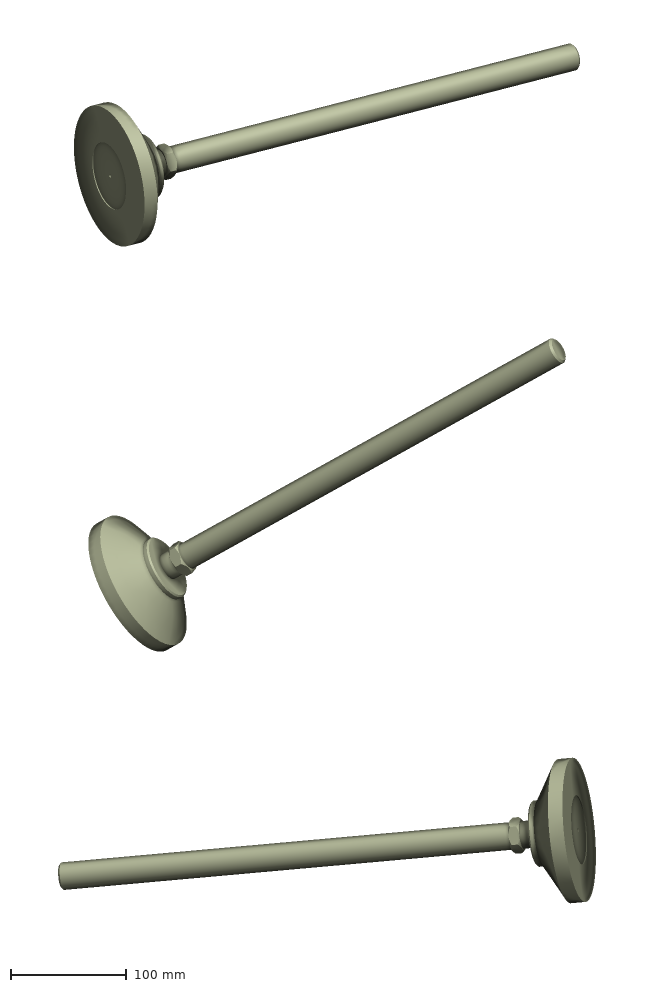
import cadquery as cq
import math

TOTAL_LENGTH = 460.0

FOOT_DIAMETER = 125.0
RIM_HEIGHT = 13.0
CONE_TOP = 33.5
COLLAR_DIAMETER = 57.5
COLLAR_TOP = 39.0
COLLAR_CHAMFER = 1.5
PAD_RECESS_DIAMETER = 60.0
PAD_RECESS_DEPTH = 1.0
CENTRE_HOLE_DIAMETER = 3.0
CENTRE_HOLE_DEPTH = 2.5
SOCKET_FLOOR = CONE_TOP

SPINDLE_DIAMETER = 24.0
SPINDLE_CHAMFER = 2.0
HEX_ACROSS_FLATS = 27.0
HEX_START = 50.0
HEX_LENGTH = 9.5
HEX_TURN = -7.0
HEX_CHAMFER_ANGLE = 45.0


def cylinder(diameter, start, end):
    """Solid cylinder along +Y between two heights."""
    return cq.Workplane("XZ", origin=(0, start, 0)).circle(diameter / 2).extrude(start - end)


def make_foot():
    """Round foot with a cone, a collar, a shallow pad recess and a spindle socket."""
    foot_radius = FOOT_DIAMETER / 2
    collar_radius = COLLAR_DIAMETER / 2
    body = (
        cq.Workplane("XY")
        .polyline([
            (0, 0),
            (foot_radius, 0),
            (foot_radius, RIM_HEIGHT),
            (collar_radius, CONE_TOP),
            (collar_radius, COLLAR_TOP - COLLAR_CHAMFER),
            (collar_radius - COLLAR_CHAMFER, COLLAR_TOP),
            (0, COLLAR_TOP),
        ])
        .close()
        .revolve(360, (0, 0, 0), (0, 1, 0))
    )
    pad_recess = cylinder(PAD_RECESS_DIAMETER, 0, PAD_RECESS_DEPTH)
    centre_hole = cylinder(CENTRE_HOLE_DIAMETER, 0, PAD_RECESS_DEPTH + CENTRE_HOLE_DEPTH)
    socket = cylinder(SPINDLE_DIAMETER, SOCKET_FLOOR, COLLAR_TOP)
    return body.cut(pad_recess).cut(centre_hole).cut(socket)


def make_hexagon():
    """Wrench hexagon with its corners turned off conically at both ends."""
    flat_radius = HEX_ACROSS_FLATS / 2
    corner_radius = flat_radius / math.cos(math.pi / 6)
    chamfer_height = (corner_radius - flat_radius) * math.tan(math.radians(HEX_CHAMFER_ANGLE))
    hex_end = HEX_START + HEX_LENGTH
    prism = (
        cq.Workplane("XZ", origin=(0, HEX_START, 0))
        .polygon(6, 2 * corner_radius)
        .extrude(-HEX_LENGTH)
        .rotate((0, 0, 0), (0, 1, 0), -HEX_TURN)
    )
    turned_blank = (
        cq.Workplane("XY")
        .polyline([
            (0, HEX_START),
            (flat_radius, HEX_START),
            (corner_radius, HEX_START + chamfer_height),
            (corner_radius, hex_end - chamfer_height),
            (flat_radius, hex_end),
            (0, hex_end),
        ])
        .close()
        .revolve(360, (0, 0, 0), (0, 1, 0))
    )
    return prism.intersect(turned_blank)


def make_spindle():
    """Plain rod standing in the socket, with a chamfered tip and a wrench hexagon."""
    rod = cylinder(SPINDLE_DIAMETER, SOCKET_FLOOR, TOTAL_LENGTH).faces(">Y").chamfer(SPINDLE_CHAMFER)
    return rod.union(make_hexagon())


foot = make_foot()
spindle = make_spindle()
result = cq.Compound.makeCompound([foot.val(), spindle.val()])